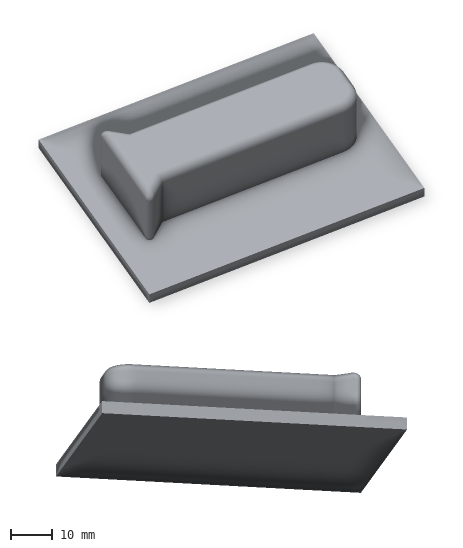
import cadquery as cq

PLATE_WIDTH = 57.0
PLATE_LENGTH = 74.5
PLATE_THICKNESS = 3.0
TOTAL_HEIGHT = 19.0

BLOCK_CENTER_X = 0.6
BLOCK_WIDTH = 17.0
FRONT_MARGIN = 7.75
BACK_MARGIN = 5.75
BACK_CORNER_RADIUS = 6.0
FLARE_REACH = 5.0
FLARE_LENGTH = 6.0
FLARE_TIP_RADIUS = 1.0
TOP_EDGE_RADIUS = 2.0

block_height = TOTAL_HEIGHT - PLATE_THICKNESS
half_width = BLOCK_WIDTH / 2
front_y = -PLATE_LENGTH / 2 + FRONT_MARGIN
back_y = PLATE_LENGTH / 2 - BACK_MARGIN
flare_half_width = half_width + FLARE_REACH
flare_start_y = front_y + FLARE_LENGTH


def make_plate():
    return cq.Workplane("XY").box(
        PLATE_WIDTH, PLATE_LENGTH, PLATE_THICKNESS, centered=(True, True, False)
    )


def make_block():
    outline = [
        (-flare_half_width, front_y),
        (flare_half_width, front_y),
        (half_width, flare_start_y),
        (half_width, back_y),
        (-half_width, back_y),
        (-half_width, flare_start_y),
    ]
    block = (
        cq.Workplane("XY", origin=(BLOCK_CENTER_X, 0, PLATE_THICKNESS))
        .polyline(outline)
        .close()
        .extrude(block_height)
    )
    block = block.edges("|Z and >Y").fillet(BACK_CORNER_RADIUS)
    block = block.edges("|Z and <Y").fillet(FLARE_TIP_RADIUS)
    return block.faces(">Z").edges().fillet(TOP_EDGE_RADIUS)


result = make_plate().union(make_block())